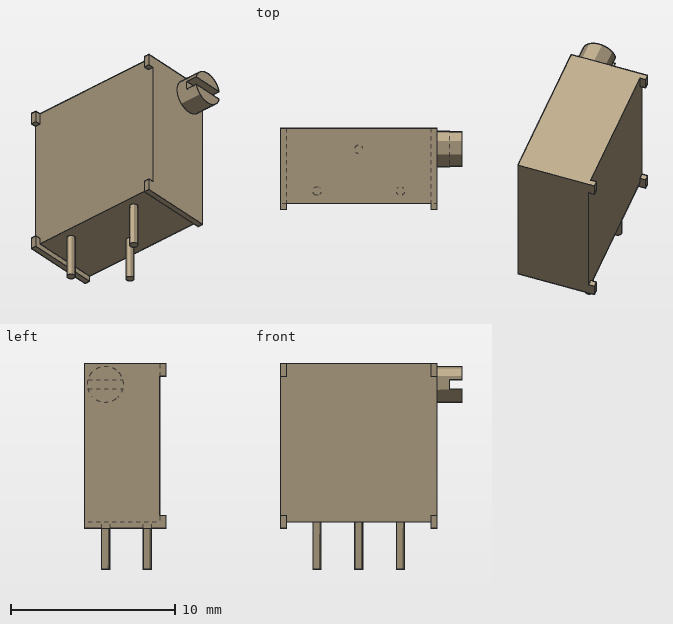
import cadquery as cq


housing_width = 9.53
housing_depth = 4.96
housing_height = 10.03
standoff = 0.37
corner_foot_height = 0.78
half_width = housing_width / 2
front_face_y = standoff - housing_depth

screw_diameter = 2.19
screw_length = 1.52
screw_inset = 1.27
slot_width = 0.55
slot_depth = screw_length / 2
screw_y = -screw_inset
screw_z = housing_height - screw_inset

pin_diameter = 0.51
pin_pitch = 2.54
pin_drop = 2.50
pin_length = pin_drop + standoff
back_row_y = -1.285
front_row_y = back_row_y - pin_pitch
pin_places = [
    (-pin_pitch, front_row_y),
    (0, back_row_y),
    (pin_pitch, front_row_y),
]


def block(x_range, y_range, z_range):
    """Axis-aligned box between the given (low, high) limits."""
    sizes = [high - low for low, high in (x_range, y_range, z_range)]
    corner = (x_range[0], y_range[0], z_range[0])
    return cq.Workplane("XY").box(*sizes, centered=False).translate(corner)


def make_housing():
    """Case with a standoff rail under each side and a foot at each front corner."""
    body = block((-half_width, half_width), (front_face_y, 0), (standoff, housing_height))
    side_strips = [
        (-half_width, -half_width + standoff),
        (half_width - standoff, half_width),
    ]
    foot_heights = [
        (0, corner_foot_height),
        (housing_height - corner_foot_height, housing_height),
    ]
    for strip in side_strips:
        body = body.union(block(strip, (front_face_y, 0), (0, standoff)))
        for height in foot_heights:
            body = body.union(block(strip, (-housing_depth, front_face_y), height))
    return body.clean()


def make_screw():
    """Round screw head on the +X side with a driver slot running along Y."""
    head = (
        cq.Workplane("YZ", origin=(half_width, screw_y, screw_z))
        .circle(screw_diameter / 2)
        .extrude(screw_length)
    )
    screw_end = half_width + screw_length
    slot = block(
        (screw_end - slot_depth, screw_end),
        (screw_y - screw_diameter, screw_y + screw_diameter),
        (screw_z - slot_width / 2, screw_z + slot_width / 2),
    )
    return head.cut(slot)


def make_pin(x, y):
    """Round pin hanging from the underside of the case."""
    return cq.Workplane("XY", origin=(x, y, -pin_drop)).circle(pin_diameter / 2).extrude(pin_length)


housing = make_housing()
screw = make_screw()
pins = [make_pin(x, y) for x, y in pin_places]

result = cq.Compound.makeCompound(
    [housing.val(), screw.val()] + [pin.val() for pin in pins]
)